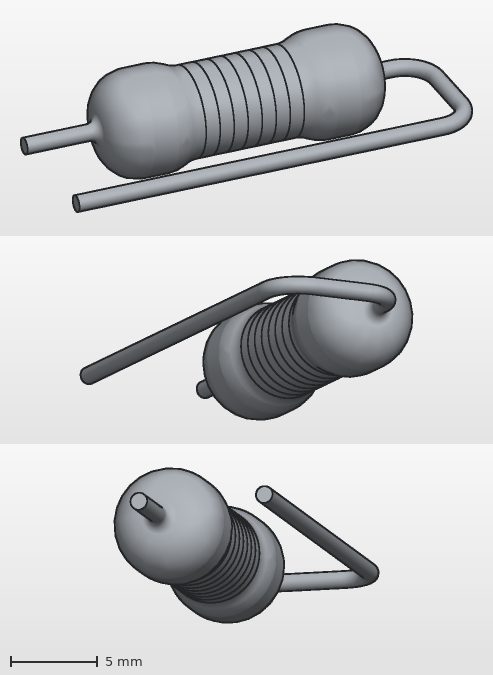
import cadquery as cq
import math


lead_radius = 0.5
lead_pitch = 7.5
bend_radius = 2.0
lead_top_y = 12.25
lead_end_y = -13.35

cap_radius = 3.25
cap_inner_y = 5.0
cap_outer_y = 6.5
dome_radius = 2.25
collar_radius = 0.625
shoulder_radius = 2.0

waist_radius = 5.53 / 2
band_radius = 5.54 / 2
band_count = 4

shoulder_drop = (cap_radius - waist_radius) / 2
shoulder_half_length = math.sqrt(shoulder_radius**2 - (shoulder_radius - shoulder_drop) ** 2)
waist_half_length = cap_inner_y - 2 * shoulder_half_length

dome_centre_radius = cap_radius - dome_radius
collar_centre_radius = lead_radius + collar_radius
collar_offset = collar_centre_radius - dome_centre_radius
centre_distance = dome_radius + collar_radius
collar_y = cap_outer_y + math.sqrt(centre_distance**2 - collar_offset**2)
dome_share = dome_radius / centre_distance
collar_foot_radius = dome_centre_radius + collar_offset * dome_share
collar_foot_y = cap_outer_y + (collar_y - cap_outer_y) * dome_share


def make_body():
    """Revolve the half profile, drawn from the -Y collar to the +Y collar."""
    shoulder_mid_radius = cap_radius - shoulder_drop
    shoulder_mid_y = cap_inner_y - shoulder_half_length
    profile = (
        cq.Workplane("XY")
        .moveTo(0, -collar_y)
        .lineTo(lead_radius, -collar_y)
        .radiusArc((collar_foot_radius, -collar_foot_y), collar_radius)
        .radiusArc((cap_radius, -cap_outer_y), -dome_radius)
        .lineTo(cap_radius, -cap_inner_y)
        .radiusArc((shoulder_mid_radius, -shoulder_mid_y), -shoulder_radius)
        .radiusArc((waist_radius, -waist_half_length), shoulder_radius)
        .lineTo(waist_radius, waist_half_length)
        .radiusArc((shoulder_mid_radius, shoulder_mid_y), shoulder_radius)
        .radiusArc((cap_radius, cap_inner_y), -shoulder_radius)
        .lineTo(cap_radius, cap_outer_y)
        .radiusArc((collar_foot_radius, collar_foot_y), -dome_radius)
        .radiusArc((lead_radius, collar_y), collar_radius)
        .lineTo(0, collar_y)
        .close()
    )
    return profile.revolve(360, (0, 0, 0), (0, 1, 0))


def make_rod(radius, start_y, end_y):
    """Round rod on the body axis between two Y positions."""
    return cq.Workplane("XZ", origin=(0, start_y, 0)).circle(radius).extrude(start_y - end_y)


def add_bands(body):
    """Add evenly spaced bands, with gaps as wide as the bands, over the whole waist."""
    band_width = 2 * waist_half_length / (2 * band_count - 1)
    for index in range(band_count):
        start_y = -waist_half_length + 2 * index * band_width
        body = body.union(make_rod(band_radius, start_y, start_y + band_width))
    return body


def make_bent_lead():
    """Sweep the lead out of the +Y collar, across in +X and back down to the lead end."""
    crossbar_y = lead_top_y - lead_radius
    bend_start_y = crossbar_y - bend_radius
    path = (
        cq.Workplane("XY")
        .moveTo(0, collar_y)
        .lineTo(0, bend_start_y)
        .radiusArc((bend_radius, crossbar_y), bend_radius)
        .lineTo(lead_pitch - bend_radius, crossbar_y)
        .radiusArc((lead_pitch, bend_start_y), bend_radius)
        .lineTo(lead_pitch, lead_end_y)
    )
    return cq.Workplane("XZ", origin=(0, collar_y, 0)).circle(lead_radius).sweep(path)


straight_lead = make_rod(lead_radius, lead_end_y, -collar_y)
result = add_bands(make_body()).union(straight_lead).union(make_bent_lead())